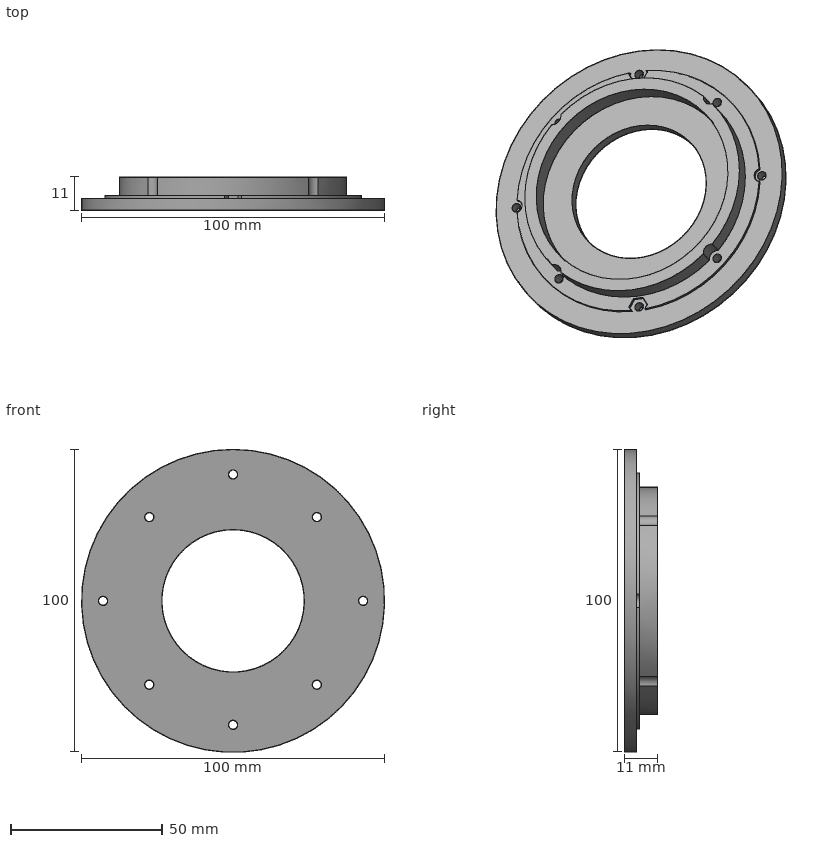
import cadquery as cq
import math

total_depth = 11.0
boss_height = 6.0
step_height = 1.0
plate_thickness = total_depth - boss_height - step_height

plate_diameter = 100.0
step_diameter = 84.7
boss_diameter = 75.0
bore_diameter = 46.9
recess_diameter = 67.0

hole_diameter = 2.9
diagonal_pocket_diameter = 5.5
side_pocket_diameter = 4.6
nut_across_flats = 5.5
diagonal_radius = 39.1
side_radius = 42.9
top_radius = 41.7
bottom_radius = 40.9


def cylinder(diameter, y_start, y_end, x=0.0, z=0.0):
    """Solid cylinder parallel to Y, between two Y positions."""
    height = y_end - y_start
    return cq.Workplane(
        cq.Solid.makeCylinder(diameter / 2, height, cq.Vector(x, y_start, z), cq.Vector(0, 1, 0))
    )


def nut_pocket(z):
    """Hexagonal prism on the Z axis line, with flats facing up and down, from the plate to the rear."""
    across_corners = nut_across_flats / math.cos(math.pi / 6)
    return (
        cq.Workplane("XZ", origin=(0, plate_thickness, z))
        .polygon(6, across_corners)
        .extrude(plate_thickness - total_depth)
    )


step_top = plate_thickness + step_height
body = cylinder(plate_diameter, 0, plate_thickness)
body = body.union(cylinder(step_diameter, 0, step_top))
body = body.union(cylinder(boss_diameter, 0, total_depth))

body = body.cut(cylinder(bore_diameter, 0, total_depth))
body = body.cut(cylinder(recess_diameter, plate_thickness, total_depth))

diagonal_offset = diagonal_radius * math.cos(math.pi / 4)
for x in (-diagonal_offset, diagonal_offset):
    for z in (-diagonal_offset, diagonal_offset):
        body = body.cut(cylinder(hole_diameter, 0, total_depth, x, z))
        body = body.cut(cylinder(diagonal_pocket_diameter, step_top, total_depth, x, z))

for x in (-side_radius, side_radius):
    body = body.cut(cylinder(hole_diameter, 0, total_depth, x))
    body = body.cut(cylinder(side_pocket_diameter, plate_thickness, total_depth, x))

for z in (top_radius, -bottom_radius):
    body = body.cut(cylinder(hole_diameter, 0, total_depth, z=z))
    body = body.cut(nut_pocket(z))

result = body